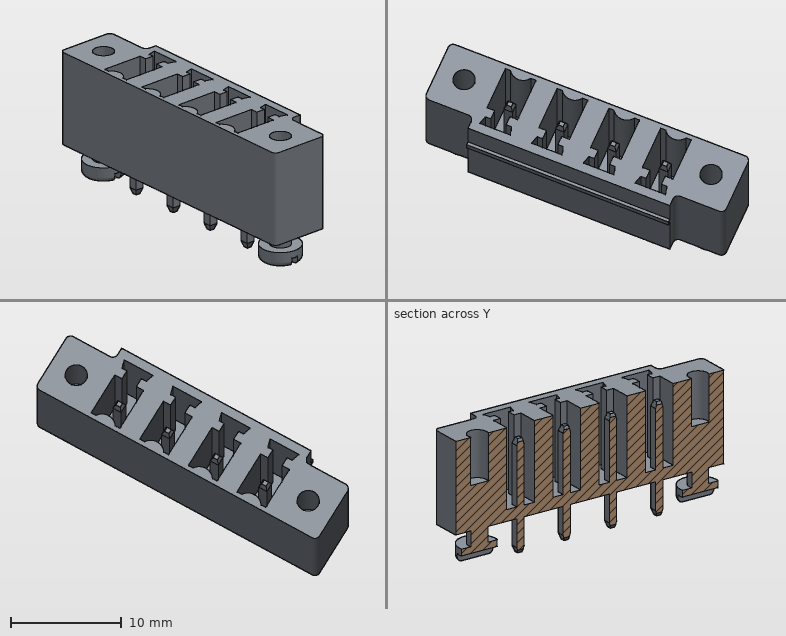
import cadquery as cq
import math


housing_length = 29.44
housing_height = 9.2
front_y = -2.92
flange_back_y = 3.1
back_y = 4.33
back_block_length = 19.8
corner_radius = 0.5

rib_depth = 0.3
rib_height = 0.65
rib_center_z = 6.0

pin_count = 4
pin_pitch = 5.08
pin_row_length = (pin_count - 1) * pin_pitch
pin_positions = [i * pin_pitch - pin_row_length / 2 for i in range(pin_count)]

pin_width = 0.85
pin_tip_width = 0.45
pin_tip_length = 0.6
pin_bottom_z = -3.4
pin_top_z = 7.8

pocket_floor_z = 1.2
pocket_depth = housing_height - pocket_floor_z
pocket_width = 3.0
pocket_front_y = -2.48
chamber_back_y = 1.77
neck_width = 1.5
neck_back_y = 2.66
dovetail_front_width = 2.55
dovetail_back_y = 3.46
bump_width = 2.0
bump_height = 0.55

screw_offset_from_pin = 4.5
screw_x = pin_row_length / 2 + screw_offset_from_pin
screw_diameter = 2.0
insert_diameter = 4.0
screw_head_diameter = 4.0
screw_head_top_z = -1.5
screw_head_height = 1.5
screw_head_bottom_z = screw_head_top_z - screw_head_height
screw_head_radius = 0.5
screw_shank_length = 6.0
screw_end_z = screw_head_top_z + screw_shank_length
screw_slot_width = 0.7
screw_slot_depth = 0.8


def make_housing():
    """Body with two screw flanges; only the rear corners of the block stay sharp."""
    flanges = cq.Workplane("XY").box(
        housing_length, flange_back_y - front_y, housing_height, centered=(True, False, False)
    ).translate((0, front_y, 0))
    block = cq.Workplane("XY").box(
        back_block_length, back_y - front_y, housing_height, centered=(True, False, False)
    ).translate((0, front_y, 0))
    body = flanges.union(block)
    rounded_corners = body.edges("|Z and (not >Y)")
    return rounded_corners.fillet(corner_radius)


def make_rib():
    """Shallow rib across the back wall."""
    return cq.Workplane("XY").box(
        back_block_length, rib_depth, rib_height, centered=(True, False, True)
    ).translate((0, back_y, rib_center_z))


def make_pocket(x):
    """Contact pocket cutter with a rounded key standing in from its front wall."""
    half = pocket_width / 2
    half_neck = neck_width / 2
    half_dovetail = dovetail_front_width / 2
    half_bump = bump_width / 2
    return (
        cq.Workplane("XY", origin=(x, 0, pocket_floor_z))
        .moveTo(-half, pocket_front_y)
        .lineTo(-half_bump, pocket_front_y)
        .threePointArc((0, pocket_front_y + bump_height), (half_bump, pocket_front_y))
        .lineTo(half, pocket_front_y)
        .lineTo(half, chamber_back_y)
        .lineTo(half_neck, chamber_back_y)
        .lineTo(half_neck, neck_back_y)
        .lineTo(half_dovetail, neck_back_y)
        .lineTo(half, dovetail_back_y)
        .lineTo(-half, dovetail_back_y)
        .lineTo(-half_dovetail, neck_back_y)
        .lineTo(-half_neck, neck_back_y)
        .lineTo(-half_neck, chamber_back_y)
        .lineTo(-half, chamber_back_y)
        .close()
        .extrude(pocket_depth)
    )


def make_pin(x):
    """Square pin with a tapered tip at each end."""
    taper = math.degrees(math.atan((pin_width - pin_tip_width) / 2 / pin_tip_length))
    shank_bottom_z = pin_bottom_z + pin_tip_length
    shank_top_z = pin_top_z - pin_tip_length
    shank = (
        cq.Workplane("XY", origin=(x, 0, shank_bottom_z))
        .rect(pin_width, pin_width)
        .extrude(shank_top_z - shank_bottom_z)
    )
    top_tip = shank.faces(">Z").wires().toPending().workplane().extrude(
        pin_tip_length, combine=False, taper=taper
    )
    bottom_tip = shank.faces("<Z").wires().toPending().workplane().extrude(
        pin_tip_length, combine=False, taper=taper
    )
    return shank.union(top_tip).union(bottom_tip)


def make_insert(x):
    """Threaded insert, flush with the top and underside of the housing."""
    return cq.Workplane("XY", origin=(x, 0, 0)).circle(insert_diameter / 2).extrude(housing_height)


def make_screw_hole(x):
    """Bore left open above the end of the screw."""
    return (
        cq.Workplane("XY", origin=(x, 0, screw_end_z))
        .circle(screw_diameter / 2)
        .extrude(housing_height - screw_end_z)
    )


def make_screw(x):
    """Screw held from below, with a rounded, slotted head."""
    head = (
        cq.Workplane("XY", origin=(x, 0, screw_head_bottom_z))
        .circle(screw_head_diameter / 2)
        .extrude(screw_head_height)
        .faces("<Z")
        .edges()
        .fillet(screw_head_radius)
    )
    slot = cq.Workplane("XY", origin=(x, 0, screw_head_bottom_z)).box(
        screw_head_diameter, screw_slot_width, screw_slot_depth, centered=(True, True, False)
    )
    shank = (
        cq.Workplane("XY", origin=(x, 0, screw_head_top_z))
        .circle(screw_diameter / 2)
        .extrude(screw_shank_length)
    )
    return head.cut(slot).union(shank)


result = make_housing().union(make_rib())

for pin_x in pin_positions:
    result = result.cut(make_pocket(pin_x))
    result = result.union(make_pin(pin_x))

for side_x in (-screw_x, screw_x):
    insert = make_insert(side_x)
    result = result.cut(insert, clean=False)
    result = result.union(insert.cut(make_screw_hole(side_x)), clean=False)
    result = result.union(make_screw(side_x), clean=False)